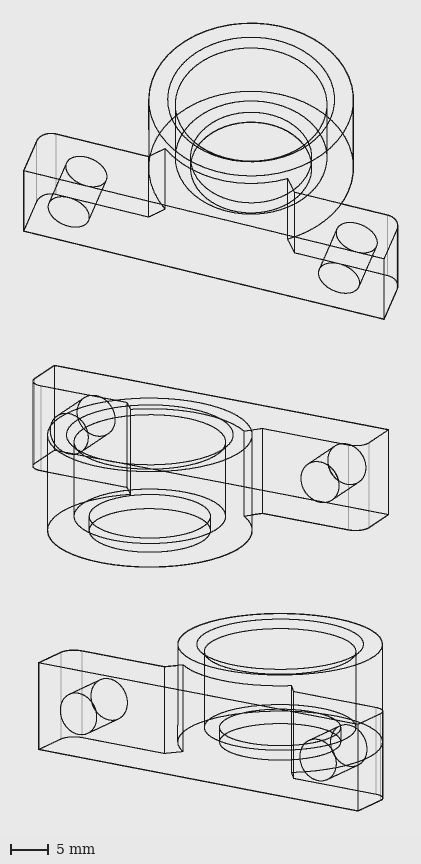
import cadquery as cq
import math

plate_length = 50.0
plate_thickness = 7.5
plate_height = 12.0
corner_radius = 2.0

screw_hole_diameter = 5.7
screw_hole_spacing = 37.5

ring_diameter = 27.0
ring_height = 13.5
ring_center_y = 20.0
seat_diameter = 20.0
seat_floor_z = 2.0
through_bore_diameter = 16.0
seat_chamfer = 1.0

web_half_angle = math.radians(39.0)


def make_plate():
    """Flat bar with its two rear vertical edges rounded."""
    bar = cq.Workplane("XY").box(
        plate_length, plate_thickness, plate_height, centered=(True, False, False)
    )
    return bar.edges("|Z and >Y").fillet(corner_radius)


def make_web():
    """Wedge from the back of the plate to the ring axis."""
    half_width = (ring_center_y - plate_thickness) * math.tan(web_half_angle)
    outline = [
        (-half_width, plate_thickness),
        (half_width, plate_thickness),
        (0, ring_center_y),
    ]
    return cq.Workplane("XY").polyline(outline).close().extrude(plate_height)


def make_ring():
    """Solid cylinder that the bearing seat is cut from."""
    return (
        cq.Workplane("XY", origin=(0, ring_center_y, 0))
        .circle(ring_diameter / 2)
        .extrude(ring_height)
    )


def make_ring_bore():
    """Through bore, bearing seat and the lead-in chamfer at the seat mouth."""
    seat_radius = seat_diameter / 2
    bore_radius = through_bore_diameter / 2
    profile = [
        (0, 0),
        (bore_radius, 0),
        (bore_radius, seat_floor_z),
        (seat_radius, seat_floor_z),
        (seat_radius, ring_height - seat_chamfer),
        (seat_radius + seat_chamfer, ring_height),
        (0, ring_height),
    ]
    cutter = cq.Workplane("XZ").polyline(profile).close().revolve(360, (0, 0), (0, 1))
    return cutter.translate((0, ring_center_y, 0))


def make_screw_holes():
    """Pair of cylinders crossing the plate at mid height."""
    return (
        cq.Workplane("XZ", origin=(0, 0, plate_height / 2))
        .pushPoints([(side * screw_hole_spacing / 2, 0) for side in (-1, 1)])
        .circle(screw_hole_diameter / 2)
        .extrude(-plate_thickness)
    )


body = make_plate().union(make_web()).union(make_ring())
result = body.cut(make_ring_bore()).cut(make_screw_holes())